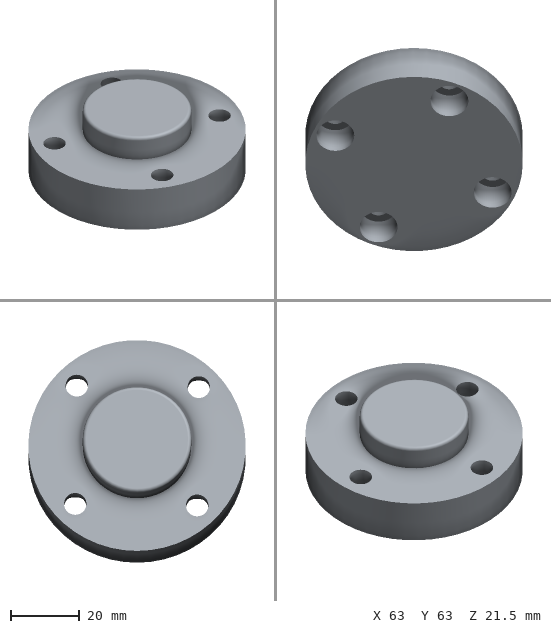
import cadquery as cq

flange_diameter = 63.0
flange_thickness = 14.0

boss_diameter = flange_diameter / 2
total_height = 21.5
boss_height = total_height - flange_thickness
boss_edge_radius = 1.0

hole_diameter = 6.5
hole_count = 4
hole_circle_diameter = 50.0
counterbore_diameter = 11.0
counterbore_floor_thickness = 4.0
counterbore_depth = flange_thickness - counterbore_floor_thickness


def make_flange():
    """Round flange standing on the XY plane."""
    return cq.Workplane("XY").circle(flange_diameter / 2).extrude(flange_thickness)


def make_boss():
    """Round boss on top of the flange, with a rounded upper edge."""
    boss = (
        cq.Workplane("XY")
        .workplane(offset=flange_thickness)
        .circle(boss_diameter / 2)
        .extrude(boss_height)
    )
    return boss.faces(">Z").edges().fillet(boss_edge_radius)


def make_hole_cutters(diameter, depth):
    """Cylinders on the hole circle, rising from the underside of the flange."""
    return (
        cq.Workplane("XY")
        .polarArray(hole_circle_diameter / 2, 0, 360, hole_count)
        .circle(diameter / 2)
        .extrude(depth)
    )


through_holes = make_hole_cutters(hole_diameter, flange_thickness)
counterbores = make_hole_cutters(counterbore_diameter, counterbore_depth)

result = make_flange().union(make_boss()).cut(through_holes).cut(counterbores)